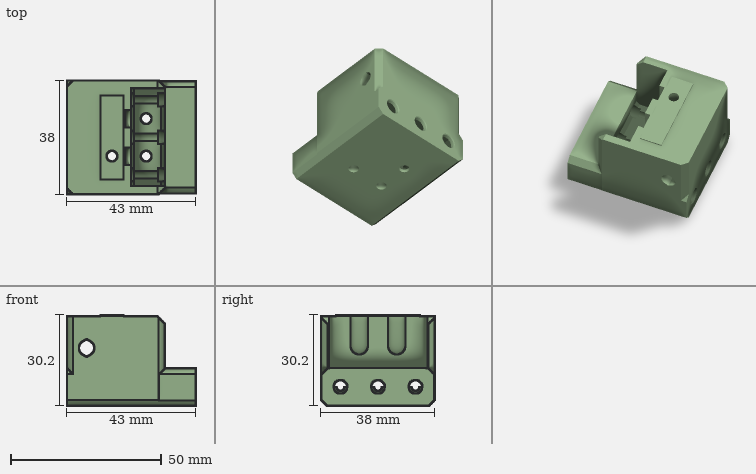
import cadquery as cq
import math

overall_length = 43.0
overall_height = 30.25
block_length = 32.6
block_width = 38.0
edge_chamfer = 2.0
front_corner_chamfer = 2.1
arm_top_chamfer = 2.5

tab_side_inset = 0.25
tab_height = 12.5

plate_length = 7.75
plate_width = 28.0
plate_thickness = 0.4
plate_center_x = 15.0

pocket_back_x = 21.4
pocket_width = 32.5
pocket_floor_z = 6.25
pocket_back_bevel = 1.0
pocket_front_bevel = 1.2
pocket_ledge_width = 0.2

rod_pitch = 12.5
rod_groove_diameter = 2.5
rod_groove_start_x = pocket_back_x + pocket_back_bevel
rod_groove_end_x = 30.3
rod_bore_diameter = 4.5
rod_mouth_diameter = 5.6
rod_throat_diameter = 5.05

chamber_wall = 1.25

screw_diameter = 3.5
screw_pitch = rod_pitch
pocket_screw_x = 26.4

recess_diameter = 5.8
recess_depth = 1.9
recess_axis_z = 20.0

cross_diameter = 5.05
cross_x = 6.55
cross_z = 19.25
cross_peak_slope = math.radians(30)

block_height = overall_height - plate_thickness
rod_positions = [-rod_pitch, 0, rod_pitch]
screw_positions = [-screw_pitch / 2, screw_pitch / 2]


def box(x_start, x_end, width, z_start, z_end):
    """Box centred on Y = 0."""
    return (
        cq.Workplane("XY")
        .box(x_end - x_start, width, z_end - z_start, centered=(False, True, False))
        .translate((x_start, 0, z_start))
    )


def cylinder_x(x_start, x_end, y, z, diameter):
    """Cylinder along X."""
    return cq.Workplane("YZ", origin=(x_start, y, z)).circle(diameter / 2).extrude(x_end - x_start)


def chamfered_bar(x_start, x_end, width, z_start, z_end):
    """Bar along X with all four long edges chamfered."""
    return box(x_start, x_end, width, z_start, z_end).edges("|X").chamfer(edge_chamfer)


def block():
    """Full-width block; its back corner chamfers stop on the sloped shoulders of a lower bar."""
    body = box(0, block_length, block_width, 0, block_height)
    body = body.edges("|X and <Z").chamfer(edge_chamfer)
    body = body.edges("|Z and <X").chamfer(edge_chamfer)
    body = body.edges("|Z and >X").chamfer(front_corner_chamfer)
    body = body.union(chamfered_bar(0, block_length / 2, block_width, 0, tab_height))
    return body.edges(">X and >Z").chamfer(arm_top_chamfer)


def tab():
    """Front tab, slightly narrower than the block but sharing the planes of its bottom chamfers."""
    tab_width = block_width - 2 * tab_side_inset
    start_x = block_length / 2
    upper = box(start_x, overall_length, tab_width, 0, tab_height)
    upper = upper.edges("|X and >Z").chamfer(edge_chamfer)
    lower = box(start_x, overall_length, block_width, 0, tab_height)
    lower = lower.edges("|X and <Z").chamfer(edge_chamfer)
    return upper.intersect(lower)


def plate():
    start_x = plate_center_x - plate_length / 2
    return box(start_x, start_x + plate_length, plate_width, block_height, block_height + plate_thickness)


def pocket():
    """Pocket open at the top and, above the tab, at the front."""
    cavity = box(pocket_back_x, block_length, pocket_width, pocket_floor_z, block_height)
    back_bevel = floor_bevel(pocket_back_x, pocket_back_bevel, pocket_width / 2)
    front_bevel = floor_bevel(block_length, -pocket_front_bevel, rod_pitch)
    ledge = box(pocket_back_x, block_length, pocket_width, tab_height, block_height)
    ledge = ledge.translate((0, pocket_ledge_width, 0))
    return cavity.cut(back_bevel).cut(front_bevel).union(ledge)


def floor_bevel(wall_x, reach, y_end):
    """Triangular strip from the -Y wall to y_end, reaching out from a wall over the floor."""
    return (
        cq.Workplane("XZ", origin=(wall_x, y_end, pocket_floor_z))
        .polyline([(0, 0), (reach, 0), (0, abs(reach))])
        .close()
        .extrude(y_end + pocket_width / 2)
    )


def rod_channel(y):
    """Rod hole from back to front: tapered mouth, bores, and a groove across the pocket floor."""
    groove = cylinder_x(0, overall_length, y, pocket_floor_z, rod_groove_diameter)
    back_bore = cylinder_x(0, rod_groove_start_x, y, pocket_floor_z, rod_bore_diameter)
    front_bore = cylinder_x(rod_groove_end_x, overall_length, y, pocket_floor_z, rod_bore_diameter)
    mouth_radius = rod_mouth_diameter / 2
    throat_radius = rod_throat_diameter / 2
    mouth = (
        cq.Workplane("XY", origin=(0, y, pocket_floor_z))
        .moveTo(0, 0)
        .lineTo(0, mouth_radius)
        .lineTo(mouth_radius - throat_radius, throat_radius)
        .lineTo(chamber_wall, rod_bore_diameter / 2)
        .lineTo(chamber_wall, 0)
        .close()
        .revolve(360, (0, 0, 0), (1, 0, 0))
    )
    return groove.union(back_bore).union(front_bore).union(mouth)


def chamber():
    """Space joining the rod holes, an inset copy of the lower bar."""
    width = block_width - 2 * chamber_wall
    end_x = pocket_back_x - chamber_wall
    return chamfered_bar(chamber_wall, end_x, width, chamber_wall, tab_height - chamber_wall)


def screw_hole(x, y):
    return cq.Workplane("XY", origin=(x, y, 0)).circle(screw_diameter / 2).extrude(block_height + plate_thickness)


def recess(y):
    """Slot in the pocket's back wall, open at the top and round at the bottom."""
    start_x = pocket_back_x - recess_depth
    slot = box(start_x, pocket_back_x, recess_diameter, recess_axis_z, block_height).translate((0, y, 0))
    return slot.union(cylinder_x(start_x, pocket_back_x, y, recess_axis_z, recess_diameter))


def cross_hole():
    radius = cross_diameter / 2
    side = radius * math.sin(cross_peak_slope)
    rise = radius * math.cos(cross_peak_slope)
    peak = radius / math.cos(cross_peak_slope)
    return (
        cq.Workplane("XZ", origin=(cross_x, block_width / 2, cross_z))
        .moveTo(side, rise)
        .lineTo(0, peak)
        .lineTo(-side, rise)
        .threePointArc((-radius, 0), (-side, -rise))
        .lineTo(0, -peak)
        .lineTo(side, -rise)
        .threePointArc((radius, 0), (side, rise))
        .close()
        .extrude(block_width)
    )


result = block().union(tab()).union(plate()).cut(pocket()).cut(chamber()).cut(cross_hole())
for rod_y in rod_positions:
    result = result.cut(rod_channel(rod_y))
for screw_y in screw_positions:
    result = result.cut(screw_hole(pocket_screw_x, screw_y)).cut(recess(screw_y))
result = result.cut(screw_hole(plate_center_x, screw_positions[0]))